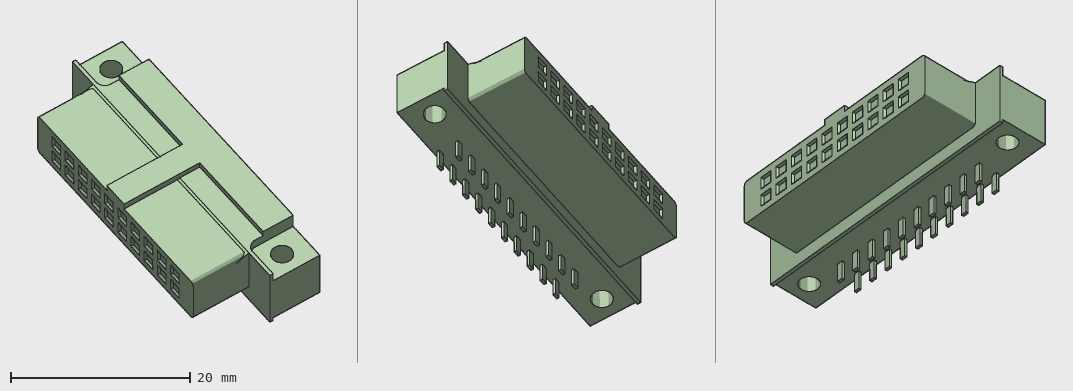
import cadquery as cq


length = 38.1
total_depth = 14.48
body_height = 8.42
lug_height = 6.48

flange_front = -6.85
flange_thickness = 0.45
flange_drop = 0.45
flange_back = flange_front + flange_thickness

strip_length = 27.8
strip_corner_radius = 1.2
recess_depth = 0.72
recess_start = -4.1
tee_width = 3.3
flange_top = body_height - recess_depth

plug_length = 30.02
plug_step = 0.1
plug_top = flange_top - plug_step
plug_height = 6.17
plug_edge_radius = 0.55
plug_bottom = plug_top - plug_height
ramp_drop = 0.7
ramp_run = 1.83

hole_diameter = 2.55
hole_spacing = 32.95
hole_y = -3.35

columns = 10
rows = 2
contact_span = 22.85
pitch = contact_span / (columns - 1)
column_places = [i * pitch - contact_span / 2 for i in range(columns)]

socket_mouth = 1.65
socket_floor = 1.22
socket_depth = 0.25
top_socket_drop = 2.65
top_socket_z = body_height - top_socket_drop

pin_width = 0.75
pin_thickness = 0.35
pin_length = 2.55
back_pin_y = -0.6
pin_embed = 0.4


def block(x_size, y_back, y_front, z_low, z_high):
    """Box centred on X = 0, given by its limits along Y and Z."""
    return (
        cq.Workplane("XY")
        .box(x_size, y_back - y_front, z_high - z_low, centered=(True, False, False))
        .translate((0, y_front, z_low))
    )


def make_housing():
    """Lugs, flange and raised strip, with concave corners where strip meets flange."""
    lugs = block(length, 0, flange_back, 0, lug_height)
    flange = block(length, flange_back, flange_front, -flange_drop, flange_top)
    strip = block(strip_length, 0, flange_back, 0, body_height)
    housing = lugs.union(strip)
    for side in (-1, 1):
        wall_x = side * strip_length / 2
        corner = (
            cq.Workplane("XY")
            .workplane(offset=lug_height)
            .moveTo(wall_x, flange_back)
            .lineTo(wall_x + side * strip_corner_radius, flange_back)
            .radiusArc((wall_x, flange_back + strip_corner_radius), side * strip_corner_radius)
            .close()
            .extrude(flange_top - lug_height)
        )
        housing = housing.union(corner)
    recess = block(strip_length, recess_start, flange_back, flange_top, body_height)
    return housing.cut(recess).union(flange)


def make_plug():
    """Round-edged plug with a ramp easing its top down from the flange."""
    plug = block(plug_length, flange_back, -total_depth, plug_bottom, plug_top)
    plug = plug.edges("|Y").fillet(plug_edge_radius)
    ramp = (
        cq.Workplane("YZ")
        .moveTo(flange_front, flange_top)
        .lineTo(flange_front - ramp_run, flange_top - ramp_drop)
        .lineTo(flange_front, flange_top - ramp_drop)
        .close()
        .extrude(plug_length / 2, both=True)
    )
    return plug.union(ramp)


def make_tee_stem():
    """Key rib running from the raised strip to the mating face."""
    return block(tee_width, recess_start, -total_depth, plug_top, body_height)


def make_sockets():
    """Tapered square pockets to be cut into the mating face."""
    places = [(x, top_socket_z - row * pitch) for x in column_places for row in range(rows)]
    return (
        cq.Workplane("XZ", origin=(0, -total_depth, 0))
        .pushPoints(places)
        .eachpoint(make_socket().val(), useLocalCoordinates=True)
    )


def make_socket():
    """One pocket, with its mouth at the origin and its floor along local -Z."""
    return (
        cq.Workplane("XY")
        .rect(socket_mouth, socket_mouth)
        .workplane(offset=-socket_depth)
        .rect(socket_floor, socket_floor)
        .loft(ruled=True)
    )


def make_pins():
    """Two rows of flat pins hanging below the body."""
    places = [(x, back_pin_y - row * pitch) for x in column_places for row in range(rows)]
    return (
        cq.Workplane("XY")
        .workplane(offset=-pin_length)
        .pushPoints(places)
        .rect(pin_width, pin_thickness)
        .extrude(pin_length + pin_embed)
    )


def make_mounting_holes():
    """Cylinders passing right through both lugs."""
    return (
        cq.Workplane("XY")
        .pushPoints([(-hole_spacing / 2, hole_y), (hole_spacing / 2, hole_y)])
        .circle(hole_diameter / 2)
        .extrude(lug_height)
    )


result = make_housing().union(make_plug()).union(make_tee_stem()).union(make_pins())
result = result.cut(make_sockets()).cut(make_mounting_holes())